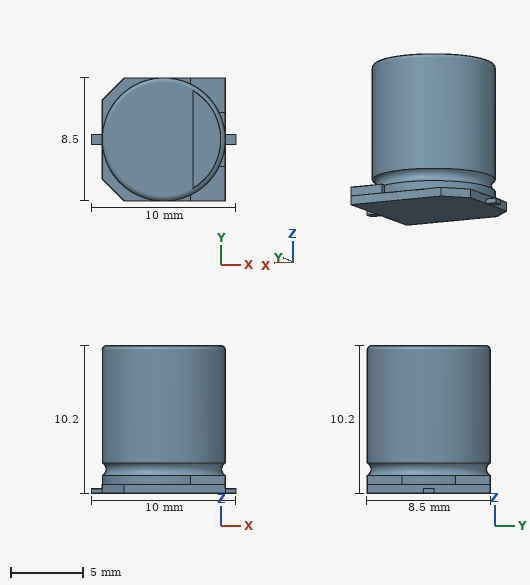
import cadquery as cq

base_side = 8.5
base_height = 0.61
base_chamfer = 1.51

can_radius = base_side / 2
can_top = 10.2
can_top_fillet = 0.32
groove_bottom = 1.23
groove_top = 2.1
groove_depth = 0.25

block_inner_x = 1.85
block_inner_y = 1.86
block_top = groove_bottom

lead_span = 10.0
lead_width = 0.71
lead_height = 0.33

mark_edge_x = 2.02
mark_thickness = 0.05


def make_base():
    """Square plate with both corners on the -X side cut off."""
    plate = cq.Workplane("XY").box(base_side, base_side, base_height, centered=(True, True, False))
    return plate.edges("|Z and <X").chamfer(base_chamfer)


def make_mark():
    """Circular segment covering the +X part of the flat top face."""
    mark_bottom = can_top - mark_thickness
    disc = (
        cq.Workplane("XY")
        .workplane(offset=mark_bottom)
        .circle(can_radius - can_top_fillet)
        .extrude(mark_thickness)
    )
    segment_limit = (
        cq.Workplane("XY")
        .box(can_radius, base_side, mark_thickness, centered=(False, True, False))
        .translate((mark_edge_x, 0, mark_bottom))
    )
    return disc.intersect(segment_limit)


def make_can(mark):
    """Revolved can with a rounded groove and top edge, recessed for the mark."""
    groove_middle = (groove_bottom + groove_top) / 2
    can = (
        cq.Workplane("XZ")
        .moveTo(0, base_height)
        .lineTo(can_radius, base_height)
        .lineTo(can_radius, groove_bottom)
        .threePointArc((can_radius - groove_depth, groove_middle), (can_radius, groove_top))
        .lineTo(can_radius, can_top)
        .lineTo(0, can_top)
        .close()
        .revolve(360, (0, 0, 0), (0, 1, 0))
    )
    return can.faces(">Z").edges().fillet(can_top_fillet).cut(mark)


def make_corner_block(side):
    """Block in the +X corner on the given Y side, hollowed to fit the can."""
    height = block_top - base_height
    length_x = base_side / 2 - block_inner_x
    length_y = base_side / 2 - block_inner_y
    center_x = block_inner_x + length_x / 2
    center_y = side * (block_inner_y + length_y / 2)
    block = (
        cq.Workplane("XY")
        .box(length_x, length_y, height, centered=(True, True, False))
        .translate((center_x, center_y, base_height))
    )
    can_space = cq.Workplane("XY").workplane(offset=base_height).circle(can_radius).extrude(height)
    return block.cut(can_space)


def make_lead(side):
    """Flat lead projecting from the base plate on the given X side."""
    length = (lead_span - base_side) / 2
    center_x = side * (base_side + length) / 2
    return (
        cq.Workplane("XY")
        .box(length, lead_width, lead_height, centered=(True, True, False))
        .translate((center_x, 0, 0))
    )


base = make_base()
mark = make_mark()
can = make_can(mark)
corner_blocks = [make_corner_block(side) for side in (-1, 1)]
leads = [make_lead(side) for side in (-1, 1)]

result = cq.Compound.makeCompound([
    base.val(),
    can.val(),
    mark.val(),
    *[block.val() for block in corner_blocks],
    *[lead.val() for lead in leads],
])